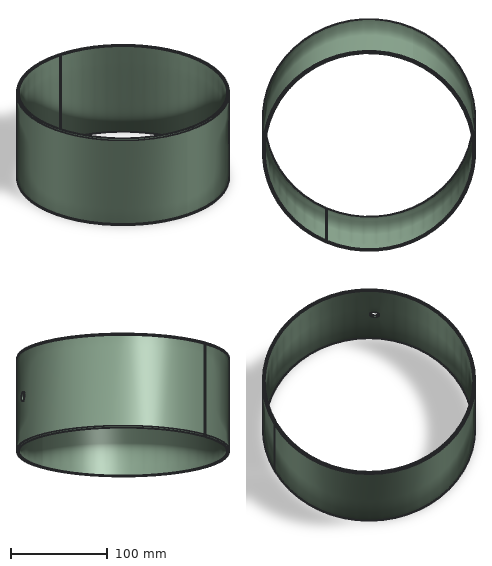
import cadquery as cq

outer_diameter = 220.0
height = 100.0
wall = 2.5

outer_bevel_width = 0.7
outer_bevel_height = 2.0
inner_bevel_width = 0.9
inner_bevel_height = 0.9

slit_width = 1.8

hole_diameter = 10.0
hole_angle = 59.0

outer_radius = outer_diameter / 2
inner_radius = outer_radius - wall
half_height = height / 2


def make_ring():
    """Revolve the wall section, bevelled on all four corners, about Z."""
    outer_rim = outer_radius - outer_bevel_width
    inner_rim = inner_radius + inner_bevel_width
    outer_bevel_start = half_height - outer_bevel_height
    inner_bevel_start = half_height - inner_bevel_height
    section = [
        (inner_rim, -half_height),
        (outer_rim, -half_height),
        (outer_radius, -outer_bevel_start),
        (outer_radius, outer_bevel_start),
        (outer_rim, half_height),
        (inner_rim, half_height),
        (inner_radius, inner_bevel_start),
        (inner_radius, -inner_bevel_start),
    ]
    return cq.Workplane("XZ").polyline(section).close().revolve(360, (0, 0), (0, 1))


def make_slit():
    """Full-height cutter that opens the ring on its -X side."""
    cutter = cq.Workplane("XY").box(
        outer_radius, slit_width, height, centered=(False, False, True)
    )
    return cutter.translate((-outer_radius, 0, 0))


def make_hole():
    """Radial cutter through one side of the wall."""
    cutter = cq.Workplane("YZ").circle(hole_diameter / 2).extrude(outer_diameter)
    return cutter.rotate((0, 0, 0), (0, 0, 1), hole_angle)


result = make_ring().cut(make_slit()).cut(make_hole())